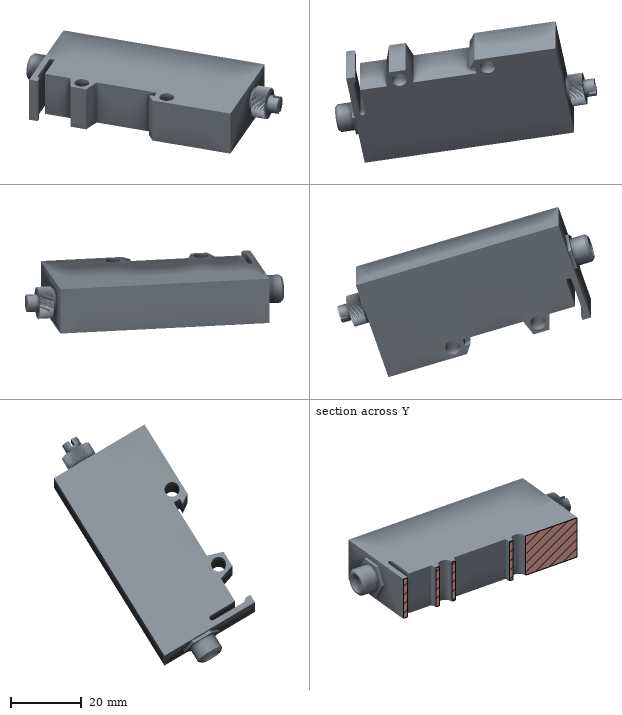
import cadquery as cq
import math

body_length = 60.2
body_width = 30.0
body_height = 13.0

finger_thickness = 1.6
finger_slot_width = 1.55
finger_slot_top = 13.5
finger_lip_reach = 0.9
finger_lip_height = 1.5
finger_lip_top = 2.7

recess_depth = 4.65
recess_right = 36.6
foot_center = 14.7
foot_top_width = 7.8
foot_bottom_width = 4.7
hook_reach = 1.6
hook_height = 2.7
hook_bottom_offset = 0.2

hole_diameter = 4.2
hole_setback = 3.1
hole_positions = (foot_center, 40.1)

socket_y = 18.0
hex_across_flats = 10.0
hex_thickness = 0.9
socket_diameter = 8.0
socket_length = 4.95
socket_chamfer = 0.75
socket_bore_diameter = 5.5
socket_bore_depth = 2.95

plug_y = 20.0
collar_diameter = 8.0
collar_length = 0.8
nut_diameter = 9.0
nut_length = 4.0
knurl_depth = 0.2
knurl_teeth = 80
tip_diameter = 4.95
tip_length = 3.1
tip_slot_width = 0.9
tip_slot_depth = 1.9

axis_z = body_height / 2


def end_plane(x, y):
    """Plane facing +X, centred on a connector axis."""
    return cq.Workplane("YZ", origin=(x, y, axis_z))


def make_housing():
    slot_right = finger_thickness + finger_slot_width
    slot_radius = finger_slot_width / 2
    slot_arc_y = finger_slot_top - slot_radius
    lip_x = finger_thickness + finger_lip_reach
    half_top = foot_top_width / 2
    half_bottom = foot_bottom_width / 2
    housing = (
        cq.Workplane("XY")
        .lineTo(lip_x, 0)
        .lineTo(lip_x, finger_lip_height)
        .lineTo(finger_thickness, finger_lip_top)
        .lineTo(finger_thickness, slot_arc_y)
        .threePointArc((finger_thickness + slot_radius, finger_slot_top), (slot_right, slot_arc_y))
        .lineTo(slot_right, recess_depth)
        .lineTo(foot_center - half_top, recess_depth)
        .lineTo(foot_center - half_bottom, 0)
        .lineTo(foot_center + half_bottom, 0)
        .lineTo(foot_center + half_top, recess_depth)
        .lineTo(recess_right, recess_depth)
        .lineTo(recess_right, hook_height)
        .lineTo(recess_right - hook_reach, hook_height)
        .lineTo(recess_right + hook_bottom_offset, 0)
        .lineTo(body_length, 0)
        .lineTo(body_length, body_width)
        .lineTo(0, body_width)
        .close()
        .extrude(body_height)
    )
    holes = (
        cq.Workplane("XY")
        .pushPoints([(x, hole_setback) for x in hole_positions])
        .circle(hole_diameter / 2)
        .extrude(body_height)
    )
    return housing.cut(holes)


def make_socket():
    hex_across_corners = hex_across_flats / math.cos(math.pi / 6)
    hex_nut = end_plane(0, socket_y).polygon(6, hex_across_corners).extrude(-hex_thickness)
    barrel = (
        end_plane(-hex_thickness, socket_y)
        .circle(socket_diameter / 2)
        .extrude(-socket_length)
        .faces("<X")
        .chamfer(socket_chamfer)
    )
    bore = (
        end_plane(-hex_thickness - socket_length, socket_y)
        .circle(socket_bore_diameter / 2)
        .extrude(socket_bore_depth)
    )
    return hex_nut.union(barrel).cut(bore)


def make_knurled_nut(x):
    """Straight-knurled nut with V-shaped teeth, starting at x."""
    crest_radius = nut_diameter / 2
    root_radius = crest_radius - knurl_depth
    points = []
    for i in range(2 * knurl_teeth):
        radius = root_radius if i % 2 else crest_radius
        angle = i * math.pi / knurl_teeth
        points.append((radius * math.cos(angle), radius * math.sin(angle)))
    return end_plane(x, plug_y).polyline(points).close().extrude(nut_length)


def make_plug():
    nut_x = body_length + collar_length
    tip_x = nut_x + nut_length
    collar = end_plane(body_length, plug_y).circle(collar_diameter / 2).extrude(collar_length)
    tip = end_plane(tip_x, plug_y).circle(tip_diameter / 2).extrude(tip_length)
    slot = (
        end_plane(tip_x + tip_length, plug_y)
        .rect(tip_slot_width, tip_diameter)
        .extrude(-tip_slot_depth)
    )
    return collar.union(make_knurled_nut(nut_x)).union(tip.cut(slot))


result = make_housing().union(make_socket()).union(make_plug())